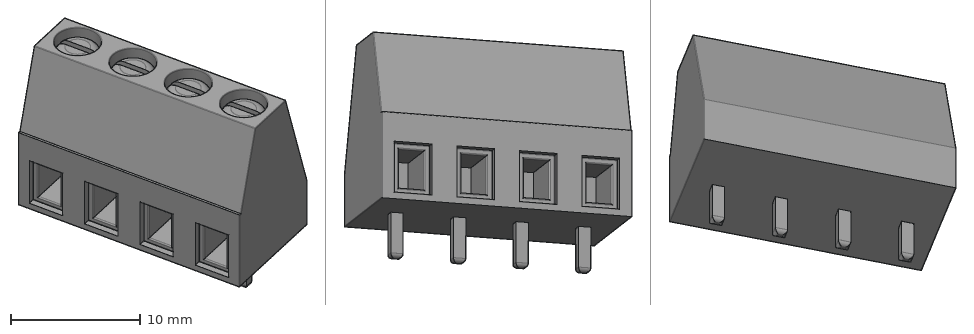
import cadquery as cq


way_count = 4
pitch = 5.08
length = way_count * pitch
depth = 9.8
height = 13.8
shoulder_height = height / 2
shoulder_step = 0.2
back_height = 4.2
front_setback = 2.3
back_setback = 3.1
edge_rounding = 0.05

recess_width = 3.05
recess_height = 4.06
recess_bottom = 0.53
recess_depth = 0.49
wire_hole_width = 2.03
wire_hole_height = 3.09
wire_hole_depth = 4.06
clamp_rounding = 0.1

terminal_y = 4.6
screw_diameter = 3.68
screw_flat_diameter = 2.0
screw_sink = 0.5
screw_slot_width = 0.49
screw_slot_depth = 0.5
screw_dome_height = (screw_diameter - screw_flat_diameter) / 2

pin_width = 1.0
pin_thickness = 0.8
pin_length = 3.6
pin_tip_rounding = 0.35
pin_embed = 0.2

way_centres = [(way - (way_count - 1) / 2) * pitch for way in range(way_count)]


def make_housing():
    profile = [
        (0, 0),
        (depth, 0),
        (depth, back_height),
        (depth - back_setback, height),
        (front_setback, height),
        (shoulder_step, shoulder_height),
        (0, shoulder_height),
    ]
    housing = cq.Workplane("YZ").polyline(profile).close().extrude(length / 2, both=True)
    return housing.faces("<X or >X or >Z").edges().fillet(edge_rounding)


def make_opening(x):
    """Recess in the front face, down to a clamp face with a blind wire hole in its middle."""
    centre = (x, 0, recess_bottom + recess_height / 2)
    front = cq.Workplane("XZ", origin=centre)
    clamp = (
        front.workplane(offset=-recess_depth)
        .rect(recess_width, recess_height)
        .rect(wire_hole_width, wire_hole_height)
        .extrude(-wire_hole_depth)
        .faces("<Y")
        .edges()
        .fillet(clamp_rounding)
    )
    recess = front.rect(recess_width, recess_height)
    recess = recess.extrude(-(recess_depth + wire_hole_depth))
    return recess.cut(clamp)


def make_screw_recess(x):
    """Round pocket with a rounded rim that leaves a domed, slotted screw head on its floor."""
    head_top = height - screw_sink
    pocket_floor = head_top - screw_dome_height
    radius = screw_diameter / 2
    centre = cq.Workplane("XY", origin=(x, terminal_y, pocket_floor))
    pocket = centre.circle(radius).extrude(height - pocket_floor)
    rim_profile = (
        cq.Workplane("XZ", origin=(x, terminal_y, height))
        .moveTo(0, -edge_rounding)
        .lineTo(radius, -edge_rounding)
        .radiusArc((radius + edge_rounding, 0), edge_rounding)
        .lineTo(0, 0)
        .close()
    )
    rim = rim_profile.revolve(360, (0, 0, 0), (0, 1, 0))
    dome_profile = (
        cq.Workplane("XZ", origin=(x, terminal_y, pocket_floor))
        .lineTo(radius, 0)
        .radiusArc((screw_flat_diameter / 2, screw_dome_height), -screw_dome_height)
        .lineTo(0, screw_dome_height)
        .close()
    )
    dome = dome_profile.revolve(360, (0, 0, 0), (0, 1, 0))
    slot = cq.Workplane("XY", origin=(x, terminal_y, head_top)).rect(screw_diameter, screw_slot_width)
    screw_head = dome.cut(slot.extrude(-screw_slot_depth))
    return pocket.cut(screw_head).union(rim)


def make_pin(x):
    pin = (
        cq.Workplane("XY", origin=(x, terminal_y, pin_embed))
        .rect(pin_width, pin_thickness)
        .extrude(-(pin_embed + pin_length))
    )
    return pin.faces("<Z").edges().fillet(pin_tip_rounding)


result = make_housing()
for way_x in way_centres:
    result = result.cut(make_opening(way_x))
    result = result.cut(make_screw_recess(way_x))
    result = result.union(make_pin(way_x))